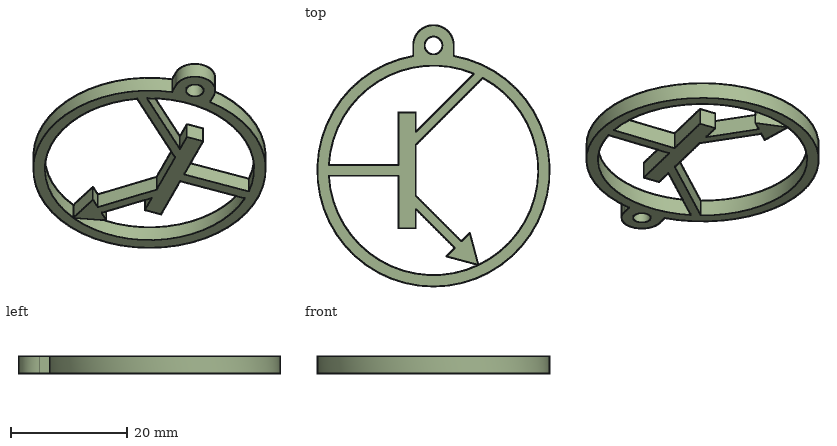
import cadquery as cq
import math

thickness = 3.0
ring_outer_diameter = 40.0
ring_inner_diameter = 36.0
overall_length = 45.0

lug_radius = 3.5
lug_hole_diameter = 3.0

bar_right = -3.0
bar_width = 3.0
bar_length = 20.0
base_lead_width = 1.9
slanted_lead_width = 1.6
lead_axis_offset = 8.55

arrow_length = 5.0
tip_overlap = 0.05

ring_outer_radius = ring_outer_diameter / 2
ring_inner_radius = ring_inner_diameter / 2
ring_middle_radius = (ring_outer_radius + ring_inner_radius) / 2
lug_y = overall_length - ring_outer_radius - lug_radius
bar_center_x = bar_right - bar_width / 2


def block(x_min, x_max, width):
    """Full-thickness block from x_min to x_max, centred on Y = 0."""
    return (
        cq.Workplane("XY")
        .center((x_min + x_max) / 2, 0)
        .rect(x_max - x_min, width)
        .extrude(thickness)
    )


def lead_x_at_radius(radius):
    """X where a 45 degree lead axis meets a circle."""
    return (math.sqrt(2 * radius**2 - lead_axis_offset**2) - lead_axis_offset) / 2


def slanted_lead(end_x, side):
    """45 degree lead from the bar to end_x; side is +1 (up) or -1 (down)."""
    start_x = bar_center_x
    length = (end_x - start_x) * math.sqrt(2)
    start_y = side * (start_x + lead_axis_offset)
    return (
        block(0, length, slanted_lead_width)
        .rotate((0, 0, 0), (0, 0, 1), side * 45)
        .translate((start_x, start_y, 0))
    )


ring = (
    cq.Workplane("XY")
    .circle(ring_outer_radius)
    .circle(ring_inner_radius)
    .extrude(thickness)
)
lug = (
    cq.Workplane("XY")
    .moveTo(-lug_radius, ring_middle_radius)
    .lineTo(-lug_radius, lug_y)
    .threePointArc((0, lug_y + lug_radius), (lug_radius, lug_y))
    .lineTo(lug_radius, ring_middle_radius)
    .close()
    .extrude(thickness)
)
lug_hole = (
    cq.Workplane("XY")
    .center(0, lug_y)
    .circle(lug_hole_diameter / 2)
    .extrude(thickness)
)

bar = block(bar_right - bar_width, bar_right, bar_length)
base_lead = block(-ring_middle_radius, bar_center_x, base_lead_width)
collector_lead = slanted_lead(lead_x_at_radius(ring_middle_radius), 1)

tip_x = lead_x_at_radius(ring_inner_radius + tip_overlap)
tip_y = -(tip_x + lead_axis_offset)
arrow_half_width = arrow_length * math.tan(math.radians(30))
arrow = (
    cq.Workplane("XY")
    .polyline([(0, 0), (-arrow_length, arrow_half_width), (-arrow_length, -arrow_half_width)])
    .close()
    .extrude(thickness)
    .rotate((0, 0, 0), (0, 0, 1), -45)
    .translate((tip_x, tip_y, 0))
)
emitter_end_x = tip_x - arrow_length / 2 * math.cos(math.radians(45))
emitter_lead = slanted_lead(emitter_end_x, -1)

result = ring.union(lug).cut(lug_hole)
for piece in (bar, base_lead, collector_lead, emitter_lead, arrow):
    result = result.union(piece)